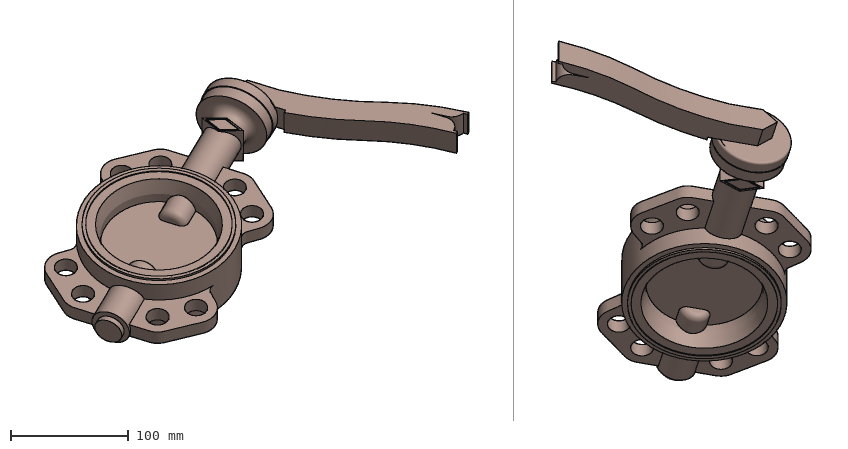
import cadquery as cq
import math


ring_radius = 70.0
ring_half_height = 25.7
lip_outer_radius = 65.3
lip_inner_radius = 62.0
lip_height = 2.0
seat_height = 1.0
mouth_radius = 53.8
throat_radius = 49.5
throat_half_height = 12.0
lip_half_height = ring_half_height + lip_height
seat_half_height = ring_half_height + seat_height

disc_half_thickness = 3.0
hub_radius = 14.0
hub_fillet = 6.2
upper_hub_end = 26.0
lower_hub_end = 30.2

lug_half_thickness = 7.0
lug_radius = 18.0
lug_root_radius = 7.5
bolt_hole_radius = 9.7
inner_bolt_circle_radius = 85.0
outer_bolt_circle_radius = 90.0
inner_bolt_angle = math.radians(45)
outer_bolt_angle = math.radians(67.5)

stem_radius = 17.5
stem_bottom = -103.8
stem_end_radius = 12.5
stem_end_bottom = -109.0
top_flange_radius = 32.5
top_flange_bottom = 156.0
top_flange_top = 167.7
neck_fillet = 8.5

diamond_center_y = 137.0
diamond_half_width = 19.0
diamond_half_length = 8.5
diamond_half_height = 18.5
diamond_rim_scale = 0.8
diamond_recess = 0.7

hub_cap_diameter = 67.0
hub_cap_top = 179.0
hub_cap_fillet = 2.0
lever_half_thickness = 12.0
lever_point_x = -16.0
lever_shoulder_x = -3.5
lever_top = 199.0
lever_step_x = 40.0
lever_step_y = 176.0
lever_end_x = 184.0
lever_end_top = 238.2
lever_end_bottom = 211.0

upper_curve_start = (25.7, lever_top)
upper_inner_mid = (77.0, 208.3)
upper_inflection = (115.0, 221.5)
upper_outer_mid = (147.2, 232.0)
lower_inner_mid = (73.0, 183.0)
lower_inflection = (106.5, 194.0)
lower_outer_mid = (141.0, 205.0)

jaw_radius = 11.5
lower_jaw_y = 213.5
notch_root_x = 155.5
jaw_center_x = 169.0
upper_jaw_start = (167.7, 226.5)
upper_jaw_mid = (176.0, 229.5)
upper_jaw_end = (180.2, 235.5)


def rod(radius, start_y, end_y):
    """Cylinder along Y between two stations."""
    return cq.Workplane("XZ", origin=(0, start_y, 0)).circle(radius).extrude(start_y - end_y)


def plate(sketch, half_height):
    """Extrude an XY outline equally above and below the mid plane."""
    return sketch.extrude(half_height, both=True)


def polar(radius, angle):
    return (radius * math.cos(angle), radius * math.sin(angle))


def bolt_points():
    """The two bolt holes of the lug in the +X +Y quadrant."""
    return [
        polar(inner_bolt_circle_radius, inner_bolt_angle),
        polar(outer_bolt_circle_radius, outer_bolt_angle),
    ]


def offset(point, distance, angle):
    return (point[0] + distance * math.cos(angle), point[1] + distance * math.sin(angle))


def make_lug():
    """Lug of the +X +Y quadrant: wraps both bolt holes and blends into the ring."""
    inner, outer = bolt_points()
    chord_angle = math.atan2(outer[1] - inner[1], outer[0] - inner[0])
    side_normal = chord_angle - math.pi / 2
    flank_normal = inner_bolt_angle - math.pi / 2

    blend_reach = math.sqrt((ring_radius + lug_root_radius) ** 2 - (lug_radius + lug_root_radius) ** 2)
    flank_end = offset(polar(blend_reach, inner_bolt_angle), lug_radius, flank_normal)
    blend_center = offset(flank_end, lug_root_radius, flank_normal)
    blend_end = polar(ring_radius, math.atan2(blend_center[1], blend_center[0]))
    toward_line = flank_normal + math.pi
    toward_ring = math.atan2(-blend_center[1], -blend_center[0]) % (2 * math.pi)
    blend_middle = offset(blend_center, lug_root_radius, (toward_line + toward_ring) / 2)

    sketch = (
        cq.Workplane("XY")
        .moveTo(0, 0)
        .lineTo(*blend_end)
        .threePointArc(blend_middle, flank_end)
        .lineTo(*offset(inner, lug_radius, flank_normal))
        .threePointArc(
            offset(inner, lug_radius, (flank_normal + side_normal) / 2),
            offset(inner, lug_radius, side_normal),
        )
        .lineTo(*offset(outer, lug_radius, side_normal))
        .threePointArc(
            offset(outer, lug_radius, (side_normal + math.pi / 2) / 2),
            offset(outer, lug_radius, math.pi / 2),
        )
        .lineTo(0, outer[1] + lug_radius)
        .close()
    )
    holes = cq.Workplane("XY").pushPoints([inner, outer]).circle(bolt_hole_radius)
    return plate(sketch, lug_half_thickness).cut(plate(holes, lug_half_thickness))


def make_ring():
    """Outer ring with a raised ridge and a slightly lower seat face on both ends."""
    ring = plate(cq.Workplane("XY").circle(ring_radius), ring_half_height)
    ridge = plate(cq.Workplane("XY").circle(lip_outer_radius).circle(lip_inner_radius), lip_half_height)
    seat = plate(cq.Workplane("XY").circle(lip_inner_radius), seat_half_height)
    return ring.union(seat).union(ridge)


def make_bore():
    """Cylindrical throat that opens out to a taper at both ends."""
    return (
        cq.Workplane("XZ")
        .moveTo(0, -seat_half_height)
        .lineTo(mouth_radius, -seat_half_height)
        .lineTo(throat_radius, -throat_half_height)
        .lineTo(throat_radius, throat_half_height)
        .lineTo(mouth_radius, seat_half_height)
        .lineTo(0, seat_half_height)
        .close()
        .revolve(360, (0, 0, 0), (0, 1, 0))
    )


def make_disc(bore):
    """Disc with round-ended hubs that reach the bore wall."""
    disc = plate(cq.Workplane("XY").circle(throat_radius), disc_half_thickness)
    upper_hub = rod(hub_radius, upper_hub_end, ring_radius).faces("<Y").edges().fillet(hub_fillet)
    lower_hub = rod(hub_radius, -ring_radius, -lower_hub_end).faces(">Y").edges().fillet(hub_fillet)
    return disc.union(upper_hub.union(lower_hub).intersect(bore))


def make_stem_housing():
    """Stepped stem tube with its mounting flange, turned about Y."""
    return (
        cq.Workplane("XY")
        .moveTo(0, stem_end_bottom)
        .lineTo(stem_end_radius, stem_end_bottom)
        .lineTo(stem_end_radius, stem_bottom)
        .lineTo(stem_radius, stem_bottom)
        .lineTo(stem_radius, top_flange_bottom - neck_fillet)
        .radiusArc((stem_radius + neck_fillet, top_flange_bottom), neck_fillet)
        .lineTo(top_flange_radius, top_flange_bottom)
        .lineTo(top_flange_radius, top_flange_top)
        .lineTo(0, top_flange_top)
        .close()
        .revolve(360, (0, 0, 0), (0, 1, 0))
    )


def diamond_outline(scale):
    half_width = diamond_half_width * scale
    half_length = diamond_half_length * scale
    return (
        cq.Workplane("XY", origin=(0, diamond_center_y, 0))
        .polyline([(half_width, 0), (0, half_length), (-half_width, 0), (0, -half_length)])
        .close()
    )


def make_diamond():
    """Diamond prism with a shallow recess inside a rim on both faces."""
    floor_half_height = diamond_half_height - diamond_recess
    core = plate(diamond_outline(diamond_rim_scale), floor_half_height)
    rim = plate(diamond_outline(1), diamond_half_height).cut(
        plate(diamond_outline(diamond_rim_scale), diamond_half_height)
    )
    return rim.union(core)


def make_valve():
    """Ring, lugs, stem housing and closed disc as one body."""
    valve = make_ring()
    upper_right = make_lug()
    upper_lugs = upper_right.union(upper_right.mirror("YZ"))
    valve = valve.union(upper_lugs).union(upper_lugs.mirror("XZ"))
    valve = valve.union(make_stem_housing()).union(make_diamond())
    bore = make_bore()
    return valve.cut(bore).union(make_disc(bore))


def make_lever():
    """S-curved lever with a notched outer end and a V-shaped inner end."""
    jaw_center = (jaw_center_x, lower_jaw_y)
    jaw_top = lower_jaw_y + jaw_radius
    sketch = (
        cq.Workplane("XY")
        .moveTo(lever_point_x, hub_cap_top)
        .lineTo(lever_step_x, hub_cap_top)
        .lineTo(lever_step_x, lever_step_y)
        .threePointArc(lower_inner_mid, lower_inflection)
        .threePointArc(lower_outer_mid, (lever_end_x, lever_end_bottom))
        .lineTo(lever_end_x, lower_jaw_y)
        .lineTo(jaw_center_x + jaw_radius, lower_jaw_y)
        .threePointArc(offset(jaw_center, jaw_radius, math.pi / 4), (jaw_center_x, jaw_top))
        .lineTo(notch_root_x, jaw_top)
        .lineTo(*upper_jaw_start)
        .threePointArc(upper_jaw_mid, upper_jaw_end)
        .lineTo(lever_end_x, upper_jaw_end[1])
        .lineTo(lever_end_x, lever_end_top)
        .threePointArc(upper_outer_mid, upper_inflection)
        .threePointArc(upper_inner_mid, upper_curve_start)
        .lineTo(lever_point_x, lever_top)
        .close()
    )
    plan = (
        cq.Workplane("XZ", origin=(0, lever_end_top, 0))
        .polyline([
            (lever_point_x, 0),
            (lever_shoulder_x, lever_half_thickness),
            (lever_end_x, lever_half_thickness),
            (lever_end_x, -lever_half_thickness),
            (lever_shoulder_x, -lever_half_thickness),
        ])
        .close()
        .extrude(lever_end_top - lever_step_y)
    )
    return plate(sketch, lever_half_thickness).intersect(plan)


def make_handle():
    """Hub cap resting on the top flange, with the lever on it."""
    cap = rod(hub_cap_diameter / 2, top_flange_top, hub_cap_top).faces(">Y").edges().fillet(hub_cap_fillet)
    return cap.union(make_lever())


valve = make_valve()
handle = make_handle()
result = cq.Compound.makeCompound([valve.solids().val(), handle.solids().val()])